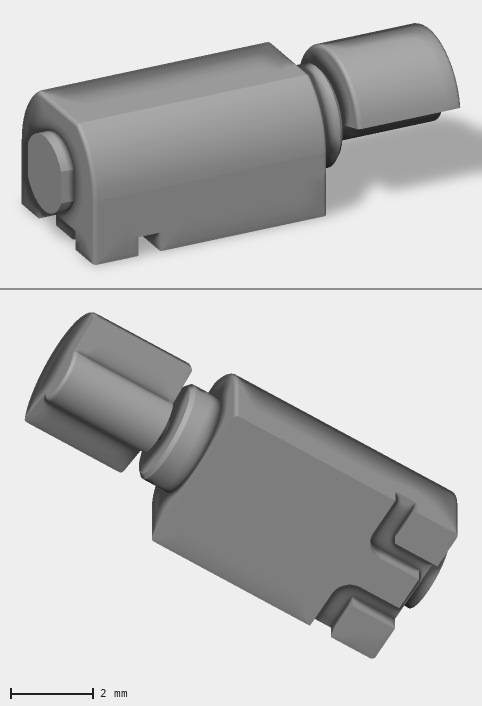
import cadquery as cq
import math

BODY_WIDTH = 4.0
BODY_HEIGHT = 3.4
AXIS_Z = BODY_HEIGHT / 2
BODY_FRONT = 0.35
BODY_BACK = 6.69
EDGE_RADIUS = 0.1

BOSS_DIAMETER = 2.0
BOSS_FLATS = 1.81

COLLAR_DIAMETER = 2.6
COLLAR_BACK = 7.51
COLLAR_CHAMFER = 0.1
SHAFT_DIAMETER = 0.55

TOTAL_LENGTH = 10.5
WEIGHT_FRONT = 7.7
WEIGHT_LENGTH = TOTAL_LENGTH - WEIGHT_FRONT
WEIGHT_RADIUS = 1.7
HUB_RADIUS = 0.72
SECTOR_EDGE_RISE = 0.26

CHANNEL_DEPTH = 0.5
OPENING_WIDTH = 2.0
POST_WIDTH = 0.92
POST_RECESS = 0.2
SIDE_SLOT_FRONT = 1.55
SIDE_SLOT_WIDTH = 0.6
CHANNEL_RADIUS = 0.5


def section(y):
    """Sketch plane at y, with local x along X, local y along Z and its normal along +Y."""
    return cq.Workplane(cq.Plane(origin=(0, y, AXIS_Z), xDir=(-1, 0, 0), normal=(0, 1, 0)))


def cylinder(diameter, start, end):
    return section(start).circle(diameter / 2).extrude(end - start)


def make_body():
    radius = BODY_WIDTH / 2
    top = BODY_HEIGHT - AXIS_Z
    top_half = math.sqrt(radius**2 - top**2)
    mid_angle = math.atan2(top, top_half) / 2
    mid_x = radius * math.cos(mid_angle)
    mid_z = radius * math.sin(mid_angle)
    body = (
        section(BODY_FRONT)
        .moveTo(-radius, -AXIS_Z)
        .lineTo(radius, -AXIS_Z)
        .lineTo(radius, 0)
        .threePointArc((mid_x, mid_z), (top_half, top))
        .lineTo(-top_half, top)
        .threePointArc((-mid_x, mid_z), (-radius, 0))
        .close()
        .extrude(BODY_BACK - BODY_FRONT)
    )
    end_edges = body.faces("<Y or >Y").edges("not <Z")
    top_edges = body.faces(">Z").edges("|Y")
    return body.newObject(end_edges.vals() + top_edges.vals()).fillet(EDGE_RADIUS)


def make_channels():
    opening_half = OPENING_WIDTH / 2
    post_half = POST_WIDTH / 2
    side = BODY_WIDTH / 2
    slot_back = SIDE_SLOT_FRONT + SIDE_SLOT_WIDTH
    post_front = BODY_FRONT + POST_RECESS
    bend_centre = (post_half + CHANNEL_RADIUS, slot_back - CHANNEL_RADIUS)
    bend_offset = CHANNEL_RADIUS * math.sqrt(0.5)
    half = (
        cq.Workplane("XY")
        .moveTo(0, BODY_FRONT)
        .lineTo(opening_half, BODY_FRONT)
        .lineTo(opening_half, SIDE_SLOT_FRONT)
        .lineTo(side, SIDE_SLOT_FRONT)
        .lineTo(side, slot_back)
        .lineTo(bend_centre[0], slot_back)
        .threePointArc(
            (bend_centre[0] - bend_offset, bend_centre[1] + bend_offset),
            (post_half, bend_centre[1]),
        )
        .lineTo(post_half, post_front)
        .lineTo(0, post_front)
        .close()
        .extrude(CHANNEL_DEPTH)
    )
    return half.union(half.mirror("YZ"))


def make_boss():
    boss = cylinder(BOSS_DIAMETER, 0, BODY_FRONT)
    flats = section(0).rect(BOSS_FLATS, BOSS_DIAMETER).extrude(BODY_FRONT)
    return boss.intersect(flats)


def make_weight():
    corner_x = math.sqrt(WEIGHT_RADIUS**2 - SECTOR_EDGE_RISE**2)
    sector = (
        section(WEIGHT_FRONT)
        .moveTo(-corner_x, SECTOR_EDGE_RISE)
        .threePointArc((0, WEIGHT_RADIUS), (corner_x, SECTOR_EDGE_RISE))
        .lineTo(HUB_RADIUS, 0)
        .threePointArc((0, -HUB_RADIUS), (-HUB_RADIUS, 0))
        .close()
        .extrude(WEIGHT_LENGTH)
    )
    rim_edges = sector.faces("<Y or >Y").edges("%CIRCLE").edges(">Z")
    hub_edge = sector.faces(">Y").edges("%CIRCLE").edges("<Z")
    return sector.newObject(rim_edges.vals() + hub_edge.vals()).fillet(EDGE_RADIUS)


collar = cylinder(COLLAR_DIAMETER, BODY_BACK, COLLAR_BACK).faces(">Y").chamfer(COLLAR_CHAMFER)
shaft = cylinder(SHAFT_DIAMETER, COLLAR_BACK, WEIGHT_FRONT)

result = make_body().cut(make_channels())
for piece in (make_boss(), collar, shaft, make_weight()):
    result = result.union(piece)